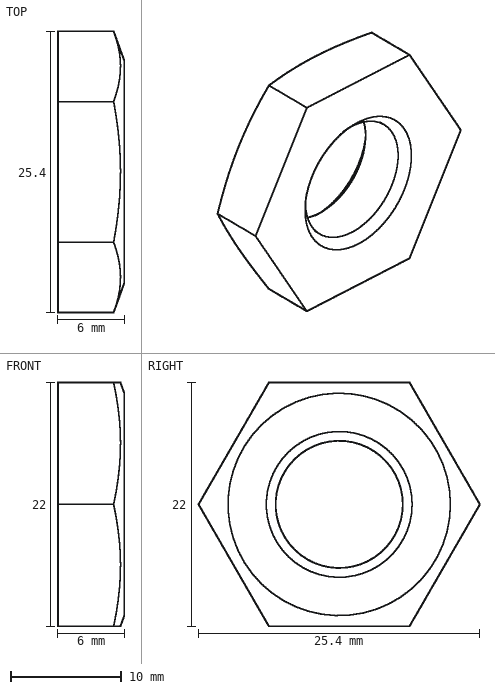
import cadquery as cq
import math

across_corners = 25.4
thickness = 6.0
bore_diameter = 11.45
countersink_diameter = 13.15
countersink_angle = 45.0
crown_diameter = 20.07
crown_angle = 20.0

corner_radius = across_corners / 2
crown_radius = crown_diameter / 2
bore_radius = bore_diameter / 2
countersink_radius = countersink_diameter / 2
countersink_depth = (countersink_radius - bore_radius) * math.tan(math.radians(countersink_angle))
crown_depth = (corner_radius - crown_radius) * math.tan(math.radians(crown_angle))


def revolve_about_x(profile_points):
    """Turn a closed (x, radius) outline around the nut axis."""
    outline = cq.Workplane("XY").polyline(profile_points).close()
    return outline.revolve(360, (0, 0, 0), (1, 0, 0))


def hexagon_body():
    """Hexagonal prism with corners on +Y and -Y."""
    return cq.Workplane("YZ").polygon(6, across_corners).extrude(thickness)


def crowned_envelope():
    """Cylinder through the corners, with a shallow cone at the crowned end."""
    return revolve_about_x([
        (0, 0),
        (0, corner_radius),
        (thickness - crown_depth, corner_radius),
        (thickness, crown_radius),
        (thickness, 0),
    ])


def countersunk_bore():
    """Through bore, widened by the same countersink at both ends."""
    return revolve_about_x([
        (0, 0),
        (0, countersink_radius),
        (countersink_depth, bore_radius),
        (thickness - countersink_depth, bore_radius),
        (thickness, countersink_radius),
        (thickness, 0),
    ])


result = hexagon_body().intersect(crowned_envelope()).cut(countersunk_bore())